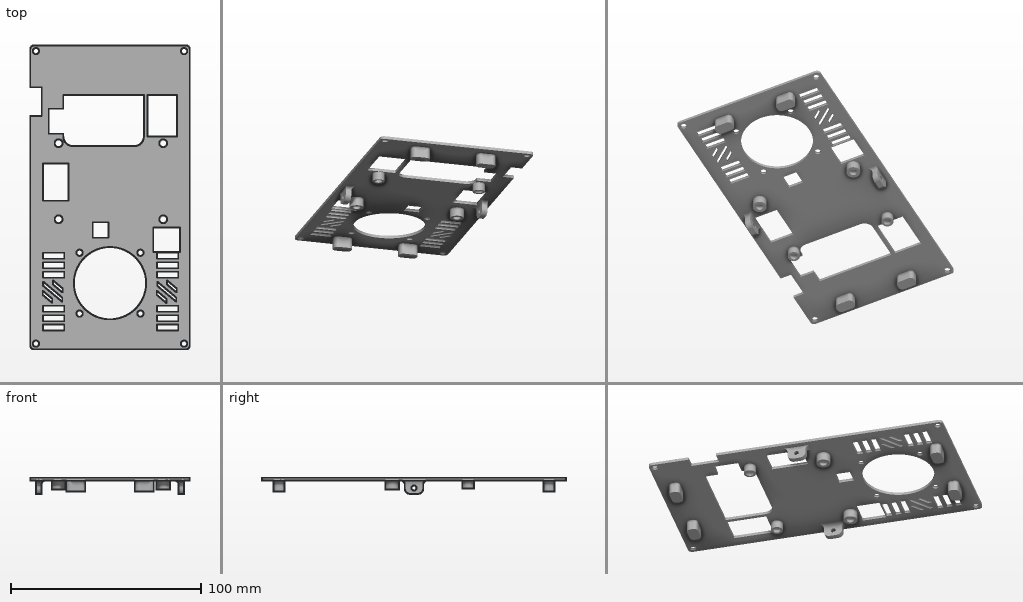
import cadquery as cq
import math

WIDTH = 84.0
LENGTH = 160.0
THICKNESS = 1.5
CORNER_RADIUS = 2.0

CORNER_HOLE_DIAMETER = 3.2
CORNER_HOLE_INSET = 3.0

NOTCH_DEPTH = 6.0
NOTCH_BOTTOM = 42.9
NOTCH_TOP = 58.0

DISPLAY_LEFT = -24.5
DISPLAY_RIGHT = 17.8
DISPLAY_BOTTOM = 27.0
DISPLAY_TOP = 53.8
DISPLAY_RADIUS = 5.0
TAB_LEFT = -32.2
TAB_BOTTOM = 33.6
TAB_TOP = 46.5

WINDOWS = [
    (19.8, 32.2, 35.2, DISPLAY_TOP),
    (-35.2, -1.8, -22.0, 17.8),
    (-9.0, -21.1, -0.8, -13.1),
    (22.9, -28.6, 36.8, -15.8),
]

FAN_Y = -45.1
FAN_DIAMETER = 38.0
FAN_HOLE_SPACING = 32.0
FAN_HOLE_DIAMETER = 3.2

BANK_SPACING = 60.0
BANK_MIDDLE_X = 0.3
BANK_Y = -49.6
SLOT_LENGTH = 11.0
SLOT_HEIGHT = 3.0
SLOT_PITCH = 5.0
FIRST_SLOT_OFFSET = 9.0
SLOTS_PER_SIDE = 3
SLANT_ANGLE = 40.0
SLANT_WIDTH = 10.0
SHORT_SLANT_WIDTH = SLANT_WIDTH / 2
SLANT_HEIGHT = 2.0
SLANT_SHIFT_X = -0.5
SHORT_SLANT_OFFSET = 2.7

STANDOFF_SPACING_X = 55.0
STANDOFF_MIDDLE_X = 0.5
STANDOFF_BORE = 4.0
UPPER_STANDOFF_Y = 28.5
UPPER_STANDOFF_DIAMETER = 6.4
UPPER_STANDOFF_BOTTOM = -5.8
LOWER_STANDOFF_Y = -11.5
LOWER_STANDOFF_DIAMETER = 7.4
LOWER_STANDOFF_BOTTOM = -6.2

BLOCK_WIDTH = 10.0
BLOCK_LENGTH = 6.0
BLOCK_RADIUS = 2.2
BLOCK_BOTTOM = -7.4
BLOCK_SPACING_X = 36.0
BLOCK_SPACING_Y = 142.0

LUG_BOTTOM = -8.6
LUG_THICKNESS = 3.0
LUG_WIDTH = 10.0
LUG_INSET = 3.0
LUG_ROUND = 3.0
LUG_FILLET = 2.0
LUG_HOLE_DIAMETER = 2.5
LUG_HOLE_Z = -5.5


def box_between(left, bottom, right, top, depth=THICKNESS):
    """Block over a rectangle, from the outer face down by the given depth."""
    return (
        cq.Workplane("XY")
        .rect(right - left, top - bottom)
        .extrude(-depth)
        .translate(((left + right) / 2, (bottom + top) / 2, 0))
    )


def cylinders(points, diameter, bottom):
    """Cylinders from the outer face down to the given level."""
    return cq.Workplane("XY").pushPoints(points).circle(diameter / 2).extrude(bottom)


def rectangle_points(spacing_x, spacing_y, center_y=0):
    """Corners of a rectangle centred on X = 0."""
    return [
        (side * spacing_x / 2, center_y + end * spacing_y / 2)
        for side in (-1, 1)
        for end in (-1, 1)
    ]


def panel_blank():
    blank = cq.Workplane("XY").rect(WIDTH, LENGTH).extrude(-THICKNESS)
    return blank.edges("|Z").fillet(CORNER_RADIUS)


def display_window():
    window = box_between(DISPLAY_LEFT, DISPLAY_BOTTOM, DISPLAY_RIGHT, DISPLAY_TOP)
    window = window.edges("|Z and <Y").fillet(DISPLAY_RADIUS)
    return window.union(box_between(TAB_LEFT, TAB_BOTTOM, DISPLAY_LEFT, TAB_TOP))


def slanted_slot(center_x, center_y, width):
    """Slot falling to the right, with upright ends."""
    half_width = width / 2
    half_height = SLANT_HEIGHT / 2
    drop = half_width * math.tan(math.radians(SLANT_ANGLE))
    outline = [
        (center_x - half_width, center_y + drop + half_height),
        (center_x + half_width, center_y - drop + half_height),
        (center_x + half_width, center_y - drop - half_height),
        (center_x - half_width, center_y + drop - half_height),
    ]
    return cq.Workplane("XY").polyline(outline).close().extrude(-THICKNESS)


def vent_bank(center_x):
    slant_x = center_x + SLANT_SHIFT_X
    bank = slanted_slot(slant_x, BANK_Y, SLANT_WIDTH)
    for side in (-1, 1):
        offset = side * SHORT_SLANT_OFFSET
        bank = bank.union(slanted_slot(slant_x + offset, BANK_Y + offset, SHORT_SLANT_WIDTH))
        for index in range(SLOTS_PER_SIDE):
            slot_y = BANK_Y + side * (FIRST_SLOT_OFFSET + index * SLOT_PITCH)
            slot = cq.Workplane("XY").center(center_x, slot_y).rect(SLOT_LENGTH, SLOT_HEIGHT)
            bank = bank.union(slot.extrude(-THICKNESS))
    return bank


def standoff_points(y):
    return [(STANDOFF_MIDDLE_X + side * STANDOFF_SPACING_X / 2, y) for side in (-1, 1)]


def rounded_blocks():
    blocks = (
        cq.Workplane("XY")
        .pushPoints(rectangle_points(BLOCK_SPACING_X, BLOCK_SPACING_Y))
        .rect(BLOCK_WIDTH, BLOCK_LENGTH)
        .extrude(BLOCK_BOTTOM)
    )
    return blocks.edges("|Z").fillet(BLOCK_RADIUS)


def right_lug():
    """Lug on the +X side, flaring into a strip of panel on all but its outer face."""
    outer_x = WIDTH / 2 - LUG_INSET
    lug = (
        cq.Workplane("YZ", origin=(outer_x, 0, 0))
        .center(0, LUG_BOTTOM / 2)
        .rect(LUG_WIDTH, -LUG_BOTTOM)
        .extrude(-LUG_THICKNESS)
        .edges("|X and <Z")
        .fillet(LUG_ROUND)
    )
    inner_x = outer_x - LUG_THICKNESS
    strip_end = LUG_WIDTH / 2 + 2 * LUG_FILLET
    strip = box_between(inner_x - 2 * LUG_FILLET, -strip_end, outer_x, strip_end)
    margin = LUG_FILLET / 2
    foot_end = LUG_WIDTH / 2 + margin
    foot = cq.selectors.BoxSelector(
        (inner_x - margin, -foot_end, -THICKNESS - margin),
        (outer_x - margin, foot_end, -THICKNESS + margin),
    )
    lug = strip.union(lug).edges(foot).fillet(LUG_FILLET)
    hole = (
        cq.Workplane("YZ", origin=(outer_x, 0, LUG_HOLE_Z))
        .circle(LUG_HOLE_DIAMETER / 2)
        .extrude(-LUG_THICKNESS)
    )
    return lug.cut(hole)


upper_standoffs = standoff_points(UPPER_STANDOFF_Y)
lower_standoffs = standoff_points(LOWER_STANDOFF_Y)
lug_pair = right_lug().union(right_lug().mirror("YZ"))
result = (
    panel_blank()
    .union(cylinders(upper_standoffs, UPPER_STANDOFF_DIAMETER, UPPER_STANDOFF_BOTTOM))
    .union(cylinders(lower_standoffs, LOWER_STANDOFF_DIAMETER, LOWER_STANDOFF_BOTTOM))
    .union(rounded_blocks())
    .union(lug_pair)
)

corner_holes = rectangle_points(WIDTH - 2 * CORNER_HOLE_INSET, LENGTH - 2 * CORNER_HOLE_INSET)
fan_holes = rectangle_points(FAN_HOLE_SPACING, FAN_HOLE_SPACING, FAN_Y)
result = (
    result.cut(cylinders(corner_holes, CORNER_HOLE_DIAMETER, -THICKNESS))
    .cut(cylinders(fan_holes, FAN_HOLE_DIAMETER, -THICKNESS))
    .cut(cylinders([(0, FAN_Y)], FAN_DIAMETER, -THICKNESS))
    .cut(cylinders(upper_standoffs + lower_standoffs, STANDOFF_BORE, LOWER_STANDOFF_BOTTOM))
)

result = result.cut(display_window())
result = result.cut(box_between(-WIDTH / 2, NOTCH_BOTTOM, -WIDTH / 2 + NOTCH_DEPTH, NOTCH_TOP))
for window in WINDOWS:
    result = result.cut(box_between(*window, depth=-LUG_BOTTOM))
for side in (-1, 1):
    result = result.cut(vent_bank(BANK_MIDDLE_X + side * BANK_SPACING / 2))